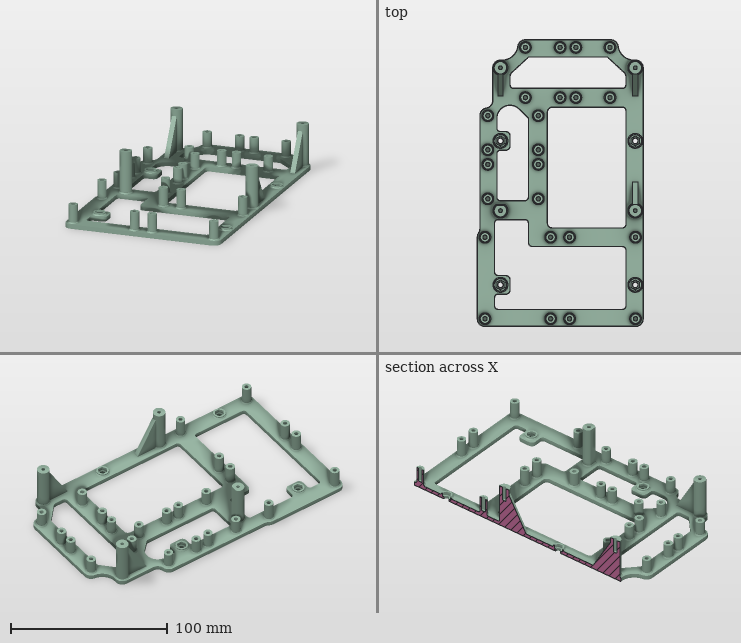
import cadquery as cq
import math

WIDTH = 106.0
LENGTH = 183.0
OVERALL_H = 31.0
PLATE = 3.0
CORNER = 5.0
TOP_BLEND = 10.0
EDGE = 11.2

STANDOFF_D = 6.0
STANDOFF_BORE = 2.7
POST_D = 8.0
POST_BORE = 2.4
FOOT = 0.7
TALL = 12.3
SHORT = 10.0
BORE_DEPTH = SHORT
POST_H = OVERALL_H - PLATE
BOSS_H = 1.5
SCREW_D = 3.5
NUT_FLATS = 5.5
NUT_DEPTH = 2.4
POST_FLAT = 3.1

RIB_T = 3.3
RIB_REACH = 18.1
RIB_H = 24.0

LOWER_X = [CORNER, 46.8, 59.0, WIDTH - CORNER]
LOWER_Y = [CORNER, 57.0]
MIDDLE_X = [6.8, 39.0]
MIDDLE_Y = [81.5, 103.4, 112.7, 134.5]
UPPER_X = [30.7, 52.9, 63.0, 84.7]
UPPER_Y = [146.0, LENGTH - CORNER]

POST_X = [14.8, 100.8]
POST_Y = [74.0, 165.0]
BOSS_Y = [26.5, 118.4]

MIDDLE_LEFT = 1.6
UPPER_LEFT = 9.9


def polar(center, radius, angle):
    return (center[0] + radius * math.cos(angle), center[1] + radius * math.sin(angle))


def direction(start, end):
    return math.atan2(end[1] - start[1], end[0] - start[0])


def step_blend(center, edge_x):
    """Points of an S-shaped step: a convex arc around center, then an equal concave arc
    that runs into the vertical edge at edge_x."""
    hollow_x = edge_x - CORNER
    rise = math.sqrt((2 * CORNER) ** 2 - (hollow_x - center[0]) ** 2)
    hollow = (hollow_x, center[1] + rise)
    angle = direction(center, hollow)
    return {
        "start": (center[0] - CORNER, center[1]),
        "convex": polar(center, CORNER, (math.pi + angle) / 2),
        "meet": polar(center, CORNER, angle),
        "concave": polar(hollow, CORNER, (angle - math.pi) / 2),
        "end": (edge_x, hollow[1]),
    }


def plate_outline():
    """Closed outline with a stepped left side; the two bottom corners are still sharp."""
    lower = step_blend((LOWER_X[0], LOWER_Y[1]), MIDDLE_LEFT)
    middle = step_blend((MIDDLE_LEFT + CORNER, MIDDLE_Y[-1]), UPPER_LEFT)

    axis_x = (UPPER_LEFT + WIDTH) / 2
    post = (UPPER_LEFT + CORNER, POST_Y[1])
    tongue = (UPPER_X[0], UPPER_Y[1])
    span = math.dist(post, tongue)
    middle_point = ((post[0] + tongue[0]) / 2, (post[1] + tongue[1]) / 2)
    tilt = math.acos(span / 2 / (CORNER + TOP_BLEND))
    hollow = polar(post, CORNER + TOP_BLEND, direction(post, tongue) + tilt)
    post_angle = direction(post, hollow)
    tongue_angle = direction(tongue, hollow)

    left = [
        (UPPER_LEFT, post[1]),
        polar(post, CORNER, (math.pi + post_angle) / 2),
        polar(post, CORNER, post_angle),
        polar(hollow, TOP_BLEND, direction(hollow, middle_point)),
        polar(tongue, CORNER, tongue_angle),
        polar(tongue, CORNER, (tongue_angle % (2 * math.pi) + math.pi / 2) / 2),
        (tongue[0], LENGTH),
    ]
    right = [(2 * axis_x - x, y) for x, y in reversed(left)]

    outline = cq.Workplane("XY").moveTo(0, 0)
    for step in (lower, middle):
        outline = (
            outline.lineTo(*step["start"])
            .threePointArc(step["convex"], step["meet"])
            .threePointArc(step["concave"], step["end"])
        )
    for side in (left, right):
        outline = outline.lineTo(*side[0])
        for i in (1, 3, 5):
            outline = outline.threePointArc(side[i], side[i + 1])
    return outline.lineTo(WIDTH, 0).close()


def window(corners):
    """Through-cut polygon; every corner is (x, y, rounding radius)."""
    body = cq.Workplane("XY").polyline([(x, y) for x, y, _ in corners]).close().extrude(PLATE)
    for x, y, radius in corners:
        if radius:
            body = body.edges(cq.NearestToPointSelector((x, y, PLATE / 2))).fillet(radius)
    return body


SMALL_R = 2.0
LARGE_R = 3.0
RIGHT_BEAM = WIDTH - EDGE
TAB_RIGHT = 21.0
TAB_HALF = 6.0
WINDOW_LEFT = 12.6
WINDOW_RIGHT = 32.5
ARCH_R = 8.2
SHARP = 0


def tab_corners(left, y):
    """Window corners around a tab at height y, listed downwards."""
    return [
        (left, y + TAB_HALF, SMALL_R),
        (TAB_RIGHT, y + TAB_HALF, LARGE_R),
        (TAB_RIGHT, y - TAB_HALF, LARGE_R),
        (left, y - TAB_HALF, SMALL_R),
    ]


def lower_window():
    bottom, step, top = 11.0, 50.9, 68.0
    return window(
        [(EDGE, top, SMALL_R)]
        + tab_corners(EDGE, BOSS_Y[0])
        + [
            (EDGE, bottom, SMALL_R),
            (RIGHT_BEAM, bottom, SMALL_R),
            (RIGHT_BEAM, step, SMALL_R),
            (WINDOW_RIGHT, step, LARGE_R),
            (WINDOW_RIGHT, top, SMALL_R),
        ]
    )


def left_window():
    bottom, top = 80.3, 141.1
    slope_end = 132.9
    slope_start_x = WINDOW_RIGHT - (top - slope_end)
    return window(
        [(WINDOW_LEFT, top, ARCH_R)]
        + tab_corners(WINDOW_LEFT, BOSS_Y[1])
        + [
            (WINDOW_LEFT, bottom, SMALL_R),
            (WINDOW_RIGHT, bottom, SMALL_R),
            (WINDOW_RIGHT, slope_end, SHARP),
            (slope_start_x, top, ARCH_R),
        ]
    )


def center_window():
    left, bottom, top = 44.8, 63.0, 139.8
    return window(
        [
            (left, bottom, LARGE_R),
            (RIGHT_BEAM, bottom, SMALL_R),
            (RIGHT_BEAM, top, SMALL_R),
            (left, top, LARGE_R),
        ]
    )


def upper_window():
    bottom, shoulder, top = 152.0, 161.0, 171.8
    slope_run = 11.7
    return window(
        [
            (TAB_RIGHT, bottom, SMALL_R),
            (RIGHT_BEAM, bottom, SMALL_R),
            (RIGHT_BEAM, shoulder, LARGE_R),
            (RIGHT_BEAM - slope_run, top, SHARP),
            (TAB_RIGHT + slope_run, top, SHARP),
            (TAB_RIGHT, shoulder, LARGE_R),
        ]
    )


def pillar(diameter, height):
    """Revolved pillar on the plate with a flared foot."""
    radius = diameter / 2
    return (
        cq.Workplane("XZ")
        .moveTo(0, PLATE)
        .lineTo(radius + FOOT, PLATE)
        .lineTo(radius, PLATE + FOOT)
        .lineTo(radius, PLATE + height)
        .lineTo(0, PLATE + height)
        .close()
        .revolve(360, (0, 0), (0, 1))
    )


def bore(diameter, height):
    """Blind bore from the top of a pillar of the given height."""
    floor = cq.Workplane("XY").workplane(offset=PLATE + height - BORE_DEPTH)
    return floor.circle(diameter / 2).extrude(BORE_DEPTH)


def rib(x, y, side):
    """Triangular gusset beside a post, on its +Y or -Y side."""
    profile = [
        (y, PLATE),
        (y + side * RIB_REACH, PLATE),
        (y + side * POST_D / 2, PLATE + RIB_H),
        (y, PLATE + RIB_H),
    ]
    return cq.Workplane("YZ").workplane(offset=x - RIB_T / 2).polyline(profile).close().extrude(RIB_T)


def flat_cutter():
    """Material behind the flat of the left lower post; the foot flares along the flat too."""
    top = PLATE + POST_H
    profile = [
        (POST_FLAT + FOOT, PLATE),
        (POST_FLAT, PLATE + FOOT),
        (POST_FLAT, top),
        (POST_D, top),
        (POST_D, PLATE),
    ]
    return cq.Workplane("YZ").polyline(profile).close().extrude(POST_D, both=True)


def grid(xs, ys):
    return [(x, y) for x in xs for y in ys]


result = plate_outline().extrude(PLATE)
for corner_x in (0, WIDTH):
    result = result.edges(cq.NearestToPointSelector((corner_x, 0, PLATE / 2))).fillet(CORNER)
for cutout in (lower_window(), left_window(), center_window(), upper_window()):
    result = result.cut(cutout)

for spots, height in (
    (grid(LOWER_X, LOWER_Y), TALL),
    (grid(MIDDLE_X, MIDDLE_Y), SHORT),
    (grid(UPPER_X, UPPER_Y), SHORT),
):
    for x, y in spots:
        result = result.union(pillar(STANDOFF_D, height).translate((x, y, 0)))
        result = result.cut(bore(STANDOFF_BORE, height).translate((x, y, 0)))

for x, y in grid(POST_X, POST_Y):
    post = pillar(POST_D, POST_H)
    if (x, y) == (POST_X[0], POST_Y[0]):
        post = post.cut(flat_cutter())
        result = result.union(post.translate((x, y, 0)))
    else:
        side = 1 if y == POST_Y[0] else -1
        result = result.union(post.translate((x, y, 0))).union(rib(x, y, side))
    result = result.cut(bore(POST_BORE, POST_H).translate((x, y, 0)))

nut = (
    cq.Workplane("XY")
    .workplane(offset=PLATE + BOSS_H - NUT_DEPTH)
    .polygon(6, NUT_FLATS / math.cos(math.pi / 6))
    .extrude(NUT_DEPTH)
    .rotate((0, 0, 0), (0, 0, 1), 90)
)
screw = cq.Workplane("XY").circle(SCREW_D / 2).extrude(PLATE + BOSS_H)
for x, y in grid(POST_X, BOSS_Y):
    result = result.union(pillar(POST_D, BOSS_H).translate((x, y, 0)))
    result = result.cut(nut.translate((x, y, 0))).cut(screw.translate((x, y, 0)))